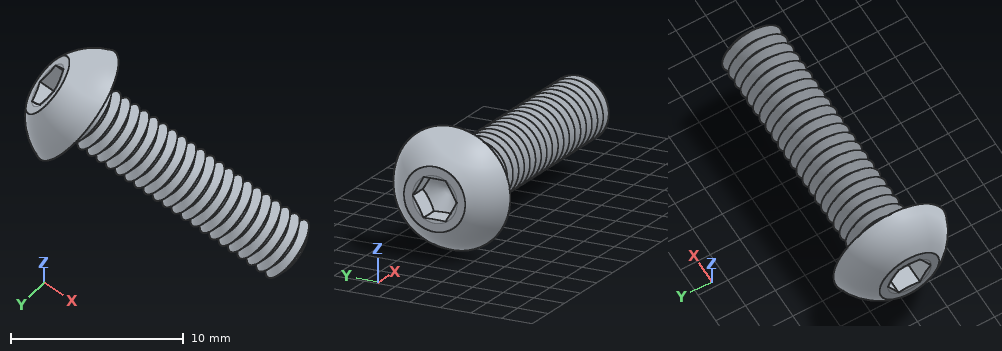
import cadquery as cq
import math

total_length = 18.2
head_diameter = 7.6
head_height = 2.2
head_flat_diameter = 4.0

shank_diameter = 4.0
thread_length = 14.7
thread_angle = 60.0
thread_ridges = 21

flare_length = 0.16
flare_diameter = 4.11

socket_across_flats = 2.5
socket_depth = 1.3
socket_bottom_angle = 120.0
socket_mouth_diameter = 2.91
socket_mouth_angle = 155.0

head_radius = head_diameter / 2
head_flat_radius = head_flat_diameter / 2
shank_radius = shank_diameter / 2
thread_pitch = thread_length / thread_ridges
thread_depth = thread_pitch / 2 / math.tan(math.radians(thread_angle / 2))
root_radius = shank_radius - thread_depth
flare_radius = flare_diameter / 2
socket_corner_radius = socket_across_flats / math.sqrt(3)
thread_start = total_length - thread_length


def dome_midpoint():
    """Point halfway along the dome, which is part of a sphere centred on the screw axis."""
    center_x = (head_height**2 + head_radius**2 - head_flat_radius**2) / (2 * head_height)
    sphere_radius = math.hypot(center_x, head_flat_radius)
    x = head_height / 2
    return x, math.sqrt(sphere_radius**2 - (x - center_x) ** 2)


def make_screw_body():
    """Revolved head, small flare under it, plain shank and annular thread ridges."""
    profile = (
        cq.Workplane("XY")
        .lineTo(0, head_flat_radius)
        .threePointArc(dome_midpoint(), (head_height, head_radius))
        .lineTo(head_height, flare_radius)
        .lineTo(head_height + flare_length, shank_radius)
        .lineTo(thread_start - thread_pitch / 2, shank_radius)
        .lineTo(thread_start, root_radius)
    )
    for ridge in range(thread_ridges):
        ridge_start = thread_start + ridge * thread_pitch
        profile = profile.lineTo(ridge_start + thread_pitch / 2, shank_radius)
        profile = profile.lineTo(ridge_start + thread_pitch, root_radius)
    profile = profile.lineTo(total_length, 0).close()
    return profile.revolve(360, (0, 0, 0), (1, 0, 0))


def make_cone(base_x, base_radius, included_angle):
    """Cone on the screw axis, tapering to a point in +X."""
    height = base_radius / math.tan(math.radians(included_angle / 2))
    solid = cq.Solid.makeCone(base_radius, 0, height, cq.Vector(base_x, 0, 0), cq.Vector(1, 0, 0))
    return cq.Workplane(obj=solid)


def make_socket():
    """Hexagon with two flats facing up and down, a conical bottom and a conical mouth."""
    bottom_height = socket_corner_radius / math.tan(math.radians(socket_bottom_angle / 2))
    hexagon = (
        cq.Workplane("YZ")
        .polygon(6, 2 * socket_corner_radius)
        .extrude(socket_depth + bottom_height)
    )
    bore = cq.Workplane("YZ").circle(socket_corner_radius).extrude(socket_depth)
    bottom = make_cone(socket_depth, socket_corner_radius, socket_bottom_angle)
    mouth = make_cone(0, socket_mouth_diameter / 2, socket_mouth_angle)
    return hexagon.intersect(bore.union(bottom)).union(mouth)


result = make_screw_body().cut(make_socket())